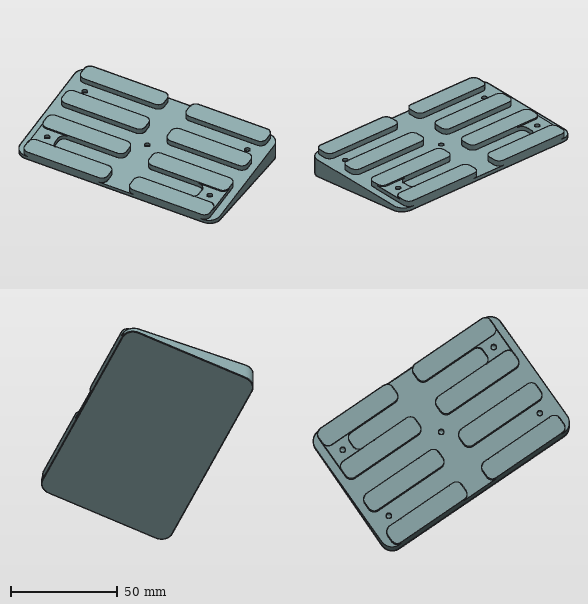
import cadquery as cq
import math

length = 106.4
depth = 66.7
total_height = 13.1
underside_drop = 8.1
base_corner_radius = 6.0
bottom_chamfer = 0.3

pad_height = 2.9
pad_row_count = 4
pad_depth = depth / (2 * pad_row_count - 1)
pad_pitch = 2 * pad_depth
pad_corner_radius = 3.2
pad_outer_x = 49.3
left_pad_inner_x = -5.1
right_pad_inner_x = 6.8

bridge_height = 2.1
bridge_inner_x = 38.3
bridge_corner_radius = 3.2

hole_diameter = 2.5
hole_depth = 1.6
drill_point_angle = 118.0
hole_x = 43.3
hole_y = pad_pitch

half_depth = depth / 2
underside_angle = math.atan(underside_drop / depth)
back_thickness = total_height - pad_height + bottom_chamfer * math.sin(underside_angle)
front_thickness = back_thickness - underside_drop


def make_block(x_range, y_range, height):
    """Rectangular block standing on Z = 0."""
    x_start, x_end = x_range
    y_start, y_end = y_range
    return (
        cq.Workplane("XY")
        .center((x_start + x_end) / 2, (y_start + y_end) / 2)
        .rect(x_end - x_start, y_end - y_start)
        .extrude(height)
    )


def make_base():
    side_profile = [
        (-half_depth, 0),
        (half_depth, 0),
        (half_depth, -back_thickness),
        (-half_depth, -front_thickness),
    ]
    wedge = cq.Workplane("YZ").polyline(side_profile).close().extrude(length / 2, both=True)
    wedge = wedge.edges("|Z").fillet(base_corner_radius)
    return wedge.faces("<Z").chamfer(bottom_chamfer)


def add_pads(body):
    for row in range(pad_row_count):
        y_start = -half_depth + row * pad_pitch
        y_range = (y_start, y_start + pad_depth)
        for x_range in [(-pad_outer_x, left_pad_inner_x), (right_pad_inner_x, pad_outer_x)]:
            pad = make_block(x_range, y_range, pad_height)
            body = body.union(pad.edges("|Z").fillet(pad_corner_radius))
    return body


def add_bridges(body):
    gap_start = -half_depth + pad_depth
    gap_end = gap_start + pad_depth
    plate_y_range = (gap_start - pad_depth / 2, gap_end + pad_depth / 2)
    slot = make_block((-bridge_inner_x, bridge_inner_x), (gap_start, gap_end), bridge_height)
    slot = slot.edges("|Z").fillet(bridge_corner_radius)
    plate_inner_x = bridge_inner_x - bridge_corner_radius
    for x_range in [(-pad_outer_x, -plate_inner_x), (plate_inner_x, pad_outer_x)]:
        plate = make_block(x_range, plate_y_range, bridge_height)
        body = body.union(plate.cut(slot))
    return body


def make_drill(x, y, surface_z):
    """Pointed drill shape entering a surface from above, reaching above the pads."""
    radius = hole_diameter / 2
    point_length = radius / math.tan(math.radians(drill_point_angle / 2))
    half_profile = [
        (0, pad_height),
        (radius, pad_height),
        (radius, surface_z - hole_depth),
        (0, surface_z - hole_depth - point_length),
    ]
    drill = cq.Workplane("XZ").polyline(half_profile).close().revolve(360, (0, 0), (0, 1))
    return drill.translate((x, y, 0))


def cut_holes(body):
    body = body.cut(make_drill(0, 0, 0))
    for x in (-hole_x, hole_x):
        body = body.cut(make_drill(x, hole_y, 0))
        body = body.cut(make_drill(x, -hole_y, bridge_height))
    return body


result = cut_holes(add_bridges(add_pads(make_base())))